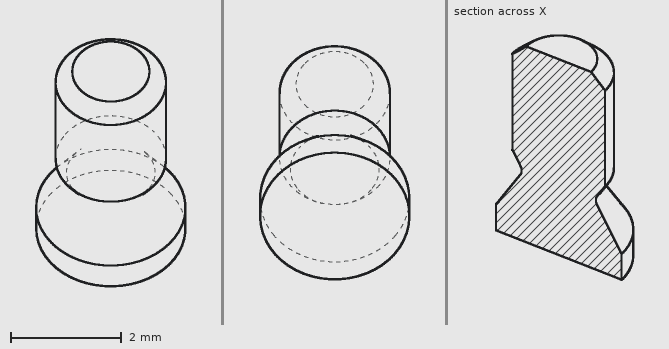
import cadquery as cq
import math

total_height = 4.5
head_radius = 1.35
head_height = 0.6
shank_radius = 1.0
shank_base = 2.0
tip_chamfer = 0.3
neck_fillet = 0.2
flank_angle = math.radians(30)

flank_slope = math.tan(flank_angle)
corner_height = (head_height + shank_base) / 2 + (head_radius - shank_radius) / (2 * flank_slope)
corner_radius = head_radius - (corner_height - head_height) * flank_slope

arc_centre_radius = corner_radius + neck_fillet / math.cos(flank_angle)
waist_radius = arc_centre_radius - neck_fillet
tangent_radius = arc_centre_radius - neck_fillet * math.cos(flank_angle)
tangent_rise = neck_fillet * math.sin(flank_angle)

profile = (
    cq.Workplane("XZ")
    .lineTo(head_radius, 0)
    .lineTo(head_radius, head_height)
    .lineTo(tangent_radius, corner_height - tangent_rise)
    .threePointArc(
        (waist_radius, corner_height),
        (tangent_radius, corner_height + tangent_rise),
    )
    .lineTo(shank_radius, shank_base)
    .lineTo(shank_radius, total_height - tip_chamfer)
    .lineTo(shank_radius - tip_chamfer, total_height)
    .lineTo(0, total_height)
    .close()
)

result = profile.revolve(360, (0, 0, 0), (0, 1, 0))